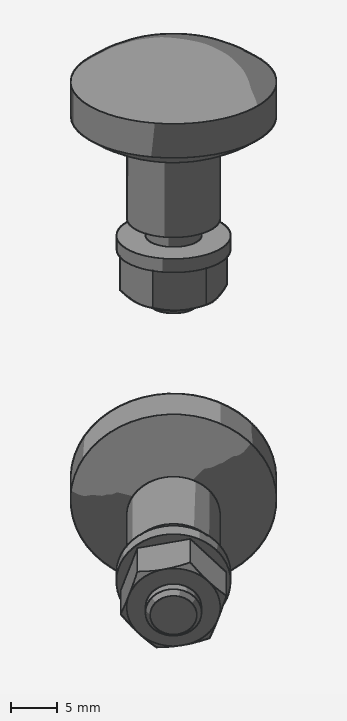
import cadquery as cq
import math

TOTAL_HEIGHT = 30.0
HEAD_RADIUS = 22.0 / 2
DOME_HEIGHT = 4.0
RIM_HEIGHT = 4.0
UNDERSIDE_DEPTH = 3.0
UNDERSIDE_BULGE = 0.35
SHANK_RADIUS = 10.0 / 2
SHANK_LENGTH = 9.0
STUD_RADIUS = 6.0 / 2
STUD_CHAMFER = 0.5

NUT_HEIGHT = 4.92
NUT_ACROSS_FLATS = 10.0
NUT_CHAMFER_ANGLE = 30.0
NUT_BASE = 1.5
WASHER_RADIUS = 12.2 / 2
WASHER_THICKNESS = 1.6

RIM_TOP = TOTAL_HEIGHT - DOME_HEIGHT
RIM_BOTTOM = RIM_TOP - RIM_HEIGHT
SHANK_TOP = RIM_BOTTOM - UNDERSIDE_DEPTH
SHANK_BOTTOM = SHANK_TOP - SHANK_LENGTH
WASHER_BASE = NUT_BASE + NUT_HEIGHT


def make_knob():
    """Revolve the half profile of head, shank and stud about Z."""
    dome_radius = (HEAD_RADIUS**2 + DOME_HEIGHT**2) / (2 * DOME_HEIGHT)
    half_angle = math.asin(HEAD_RADIUS / dome_radius) / 2
    dome_middle = (
        dome_radius * math.sin(half_angle),
        TOTAL_HEIGHT - dome_radius * (1 - math.cos(half_angle)),
    )
    return (
        cq.Workplane("XZ")
        .moveTo(0, 0)
        .lineTo(STUD_RADIUS - STUD_CHAMFER, 0)
        .lineTo(STUD_RADIUS, STUD_CHAMFER)
        .lineTo(STUD_RADIUS, SHANK_BOTTOM)
        .lineTo(SHANK_RADIUS, SHANK_BOTTOM)
        .lineTo(SHANK_RADIUS, SHANK_TOP)
        .sagittaArc((HEAD_RADIUS, RIM_BOTTOM), -UNDERSIDE_BULGE)
        .lineTo(HEAD_RADIUS, RIM_TOP)
        .threePointArc(dome_middle, (0, TOTAL_HEIGHT))
        .close()
        .revolve(360, (0, 0, 0), (0, 1, 0))
    )


def make_washer():
    """Flat ring that fits the stud."""
    return (
        cq.Workplane("XY", origin=(0, 0, WASHER_BASE))
        .circle(WASHER_RADIUS)
        .circle(STUD_RADIUS)
        .extrude(WASHER_THICKNESS)
    )


def make_nut():
    """Hexagon with corners on the X axis, its lower corners cut by a cone."""
    corner_radius = NUT_ACROSS_FLATS / 2 / math.cos(math.radians(30))
    face_radius = NUT_ACROSS_FLATS / 2
    chamfer_height = (corner_radius - face_radius) * math.tan(math.radians(NUT_CHAMFER_ANGLE))
    hexagon = (
        cq.Workplane("XY", origin=(0, 0, NUT_BASE))
        .polygon(6, 2 * corner_radius)
        .circle(STUD_RADIUS)
        .extrude(NUT_HEIGHT)
    )
    chamfer_envelope = (
        cq.Workplane("XZ")
        .moveTo(0, NUT_BASE)
        .lineTo(face_radius, NUT_BASE)
        .lineTo(corner_radius, NUT_BASE + chamfer_height)
        .lineTo(corner_radius, WASHER_BASE)
        .lineTo(0, WASHER_BASE)
        .close()
        .revolve(360, (0, 0, 0), (0, 1, 0))
    )
    return hexagon.intersect(chamfer_envelope).solids()


knob = make_knob()
washer = make_washer()
nut = make_nut()

result = cq.Compound.makeCompound([knob.val(), washer.val(), nut.val()])